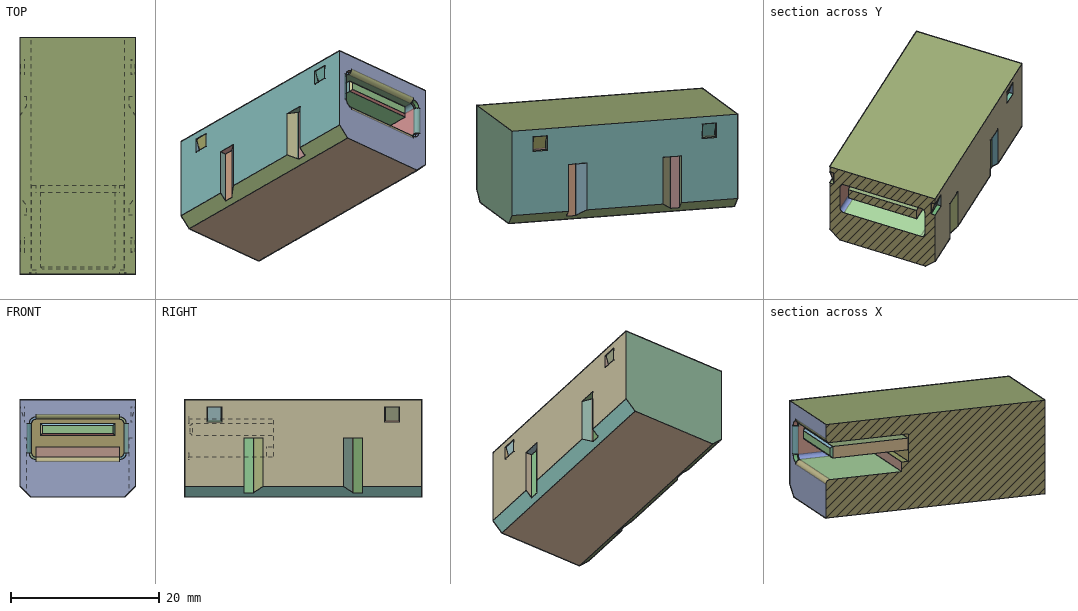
import cadquery as cq

LENGTH = 32.0
WIDTH = 15.6
HEIGHT = 13.2
BOTTOM_CHAMFER_WIDTH = 1.47
BOTTOM_CHAMFER_HEIGHT = 1.47
FRONT_Y = -LENGTH / 2
SIDE_X = WIDTH / 2

SOCKET_WIDTH = 12.45
SOCKET_HEIGHT = 5.12
SOCKET_CORNER_RADIUS = 0.58
SOCKET_DEPTH = 12.0
SOCKET_CENTER_Z = 7.97
FLARE_RADIUS = 0.6
CORNER_RELIEF = 0.32
CORNER_RELIEF_DEPTH = 0.6
FLAT_WIDTH = SOCKET_WIDTH - 2 * SOCKET_CORNER_RADIUS
FLAT_HEIGHT = SOCKET_HEIGHT - 2 * SOCKET_CORNER_RADIUS

TONGUE_WIDTH = 10.08
TONGUE_HEIGHT = 1.63
TONGUE_CENTER_Z = 9.15
TONGUE_SETBACK = 0.75
TONGUE_CHAMFER = 0.3
LEDGE_HEIGHT = 1.35
LEDGE_LENGTH = 0.95

POCKET_SIZE = 2.0
POCKET_CENTER_Y = 12.0
POCKET_CENTER_Z = HEIGHT - 2.0
POCKET_DEPTH = 0.6
POCKET_RAMP_RISE = 0.2
POCKET_RAMP_TOP_DEPTH = 0.05
POCKET_RAMP_GAP = 0.1

GROOVE_OUTER_Y = 8.0
GROOVE_FLOOR_END_Y = 6.72
GROOVE_RAMP_START_Y = 6.62
GROOVE_RAMP_END_Y = 5.4
GROOVE_DEPTH = 0.9
GROOVE_RAMP_DEPTH = 0.8
GROOVE_TOP_Z = 7.97


def front_plane(center_z, depth=0.0):
    """XZ sketch plane at a depth behind the front face; extrudes positive towards +Y."""
    return cq.Workplane(cq.Plane(origin=(0, FRONT_Y + depth, center_z), xDir=(-1, 0, 0), normal=(0, 1, 0)))


def make_housing():
    flat_half = SIDE_X - BOTTOM_CHAMFER_WIDTH
    outline = [
        (-flat_half, 0),
        (flat_half, 0),
        (SIDE_X, BOTTOM_CHAMFER_HEIGHT),
        (SIDE_X, HEIGHT),
        (-SIDE_X, HEIGHT),
        (-SIDE_X, BOTTOM_CHAMFER_HEIGHT),
    ]
    return front_plane(0).polyline(outline).close().extrude(LENGTH)


def rounded_prism(width, height, radius, depth):
    prism = front_plane(SOCKET_CENTER_Z).rect(width, height).extrude(depth)
    return prism.edges("|Y").fillet(radius)


def flare_cutter(half_span, length):
    """Convex rounding between one socket wall at +X = half_span and the front face."""
    return (
        cq.Workplane("XY", origin=(0, 0, -length / 2))
        .moveTo(half_span, FRONT_Y)
        .lineTo(half_span + FLARE_RADIUS, FRONT_Y)
        .radiusArc((half_span, FRONT_Y + FLARE_RADIUS), FLARE_RADIUS)
        .close()
        .extrude(length)
    )


def make_socket():
    cavity = rounded_prism(SOCKET_WIDTH, SOCKET_HEIGHT, SOCKET_CORNER_RADIUS, SOCKET_DEPTH)
    side_flare = flare_cutter(SOCKET_WIDTH / 2, FLAT_HEIGHT)
    end_flare = flare_cutter(SOCKET_HEIGHT / 2, FLAT_WIDTH)
    for flare, angles in ((side_flare, (0, 180)), (end_flare, (90, 270))):
        for angle in angles:
            turned = flare.rotate((0, 0, 0), (0, 1, 0), angle)
            cavity = cavity.union(turned.translate((0, 0, SOCKET_CENTER_Z)))

    relief = rounded_prism(
        SOCKET_WIDTH + 2 * CORNER_RELIEF,
        SOCKET_HEIGHT + 2 * CORNER_RELIEF,
        SOCKET_CORNER_RADIUS + CORNER_RELIEF,
        CORNER_RELIEF_DEPTH,
    )
    for width, height in ((WIDTH, FLAT_HEIGHT), (FLAT_WIDTH, HEIGHT)):
        relief = relief.cut(front_plane(SOCKET_CENTER_Z).rect(width, height).extrude(CORNER_RELIEF_DEPTH))
    return cavity.union(relief)


def make_tongue():
    tongue = (
        front_plane(TONGUE_CENTER_Z, TONGUE_SETBACK)
        .rect(TONGUE_WIDTH, TONGUE_HEIGHT)
        .extrude(SOCKET_DEPTH - TONGUE_SETBACK)
    )
    return tongue.faces("<Y").chamfer(TONGUE_CHAMFER)


def make_ledge():
    floor_z = SOCKET_CENTER_Z - SOCKET_HEIGHT / 2
    return (
        front_plane(floor_z + LEDGE_HEIGHT / 2, SOCKET_DEPTH - LEDGE_LENGTH)
        .rect(FLAT_WIDTH, LEDGE_HEIGHT)
        .extrude(LEDGE_LENGTH)
    )


def pocket_cutter():
    """Square pocket on the -X side, with a ramp left standing on its floor clear of the two end walls."""
    floor_x = -SIDE_X + POCKET_DEPTH
    top_z = POCKET_CENTER_Z + POCKET_SIZE / 2
    bottom_z = POCKET_CENTER_Z - POCKET_SIZE / 2
    pocket = cq.Workplane("XY").box(2 * POCKET_DEPTH, POCKET_SIZE, POCKET_SIZE)
    pocket = pocket.translate((-SIDE_X, POCKET_CENTER_Y, POCKET_CENTER_Z))

    ramp_length = POCKET_SIZE - 2 * POCKET_RAMP_GAP
    ramp_profile = [
        (floor_x, bottom_z + POCKET_RAMP_RISE),
        (floor_x, top_z),
        (-SIDE_X + POCKET_RAMP_TOP_DEPTH, top_z),
    ]
    ramp = (
        cq.Workplane("XZ", origin=(0, POCKET_CENTER_Y + ramp_length / 2, 0))
        .polyline(ramp_profile)
        .close()
        .extrude(ramp_length)
    )
    return pocket.cut(ramp)


def groove_cutter():
    """Groove on the -X side: a flat floor, a small step, then a ramp rising to the side face."""
    floor_x = -SIDE_X + GROOVE_DEPTH
    outline = [
        (-SIDE_X, GROOVE_OUTER_Y),
        (floor_x, GROOVE_OUTER_Y),
        (floor_x, GROOVE_FLOOR_END_Y),
        (-SIDE_X + GROOVE_RAMP_DEPTH, GROOVE_RAMP_START_Y),
        (-SIDE_X, GROOVE_RAMP_END_Y),
    ]
    return cq.Workplane("XY").polyline(outline).close().extrude(GROOVE_TOP_Z)


result = make_housing().cut(make_socket()).union(make_tongue()).union(make_ledge())
for cutter in (pocket_cutter(), groove_cutter()):
    both_ends = cutter.union(cutter.mirror("XZ"))
    result = result.cut(both_ends).cut(both_ends.mirror("YZ"))